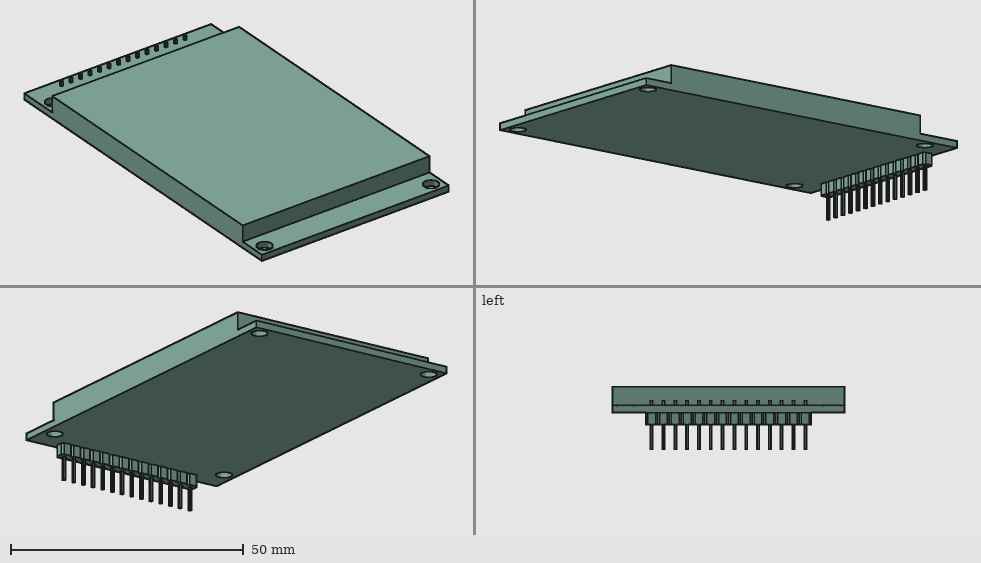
import cadquery as cq

board_length = 86.0
board_width = 50.0
board_thickness = 1.55

display_margin_left = 10.15
display_margin_right = 7.0
display_thickness = 4.0

hole_diameter = 3.5
hole_inset_left = 6.7
hole_inset_right = 2.75
hole_inset_side = 2.75

pin_count = 14
pin_row_length = 33.0
pin_pitch = pin_row_length / (pin_count - 1)
pin_width = 0.5
pin_inset = 2.1
pin_rise = 1.0
pin_drop = 7.9
housing_depth = 2.5
housing_height = 2.6
housing_corner_cut = 0.4


def make_board():
    board = cq.Workplane("XY").box(board_length, board_width, board_thickness, centered=False)
    hole_points = [
        (x, y)
        for x in (hole_inset_left, board_length - hole_inset_right)
        for y in (hole_inset_side, board_width - hole_inset_side)
    ]
    holes = cq.Workplane("XY").pushPoints(hole_points).circle(hole_diameter / 2).extrude(board_thickness)
    return board.cut(holes)


def make_display():
    display_length = board_length - display_margin_left - display_margin_right
    return (
        cq.Workplane("XY", origin=(display_margin_left, 0, board_thickness))
        .box(display_length, board_width, display_thickness, centered=False)
    )


def make_header_position(y):
    """One pin passing through the board, with its housing under the board."""
    housing = (
        cq.Workplane("XY", origin=(pin_inset, y, 0))
        .rect(housing_depth, pin_pitch)
        .extrude(-housing_height)
        .edges("|Z")
        .chamfer(housing_corner_cut)
    )
    pin = (
        cq.Workplane("XY", origin=(pin_inset, y, -pin_drop))
        .rect(pin_width, pin_width)
        .extrude(pin_drop + board_thickness + pin_rise)
    )
    return housing.union(pin)


result = make_board().union(make_display())
first_pin_y = (board_width - pin_row_length) / 2
for index in range(pin_count):
    result = result.union(make_header_position(first_pin_y + index * pin_pitch))